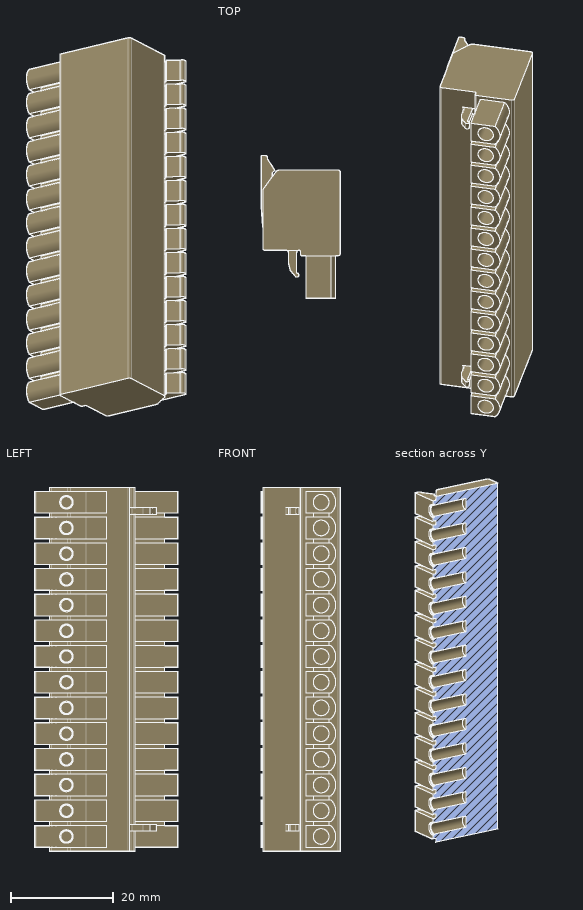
import cadquery as cq
import math


length = 70.9
pole_count = 14
pole_height = 4.25
end_margin = 0.8
pole_pitch = (length - 2 * end_margin - pole_height) / (pole_count - 1)
pole_levels = [(i - (pole_count - 1) / 2) * pole_pitch for i in range(pole_count)]

housing_left = 0.35
housing_right = 15.45
housing_back = 16.7
step_x = 7.65
step_depth = 1.05
bevel_width = 2.75
bevel_length = 3.8
bevel_round = 1.0
corner_round = 0.5
front_left_round = 0.35
step_outer_round = 0.3
step_inner_round = 0.2

post_left = 8.7
post_length = 8.3
socket_x = 11.7
socket_diameter = 3.05
post_round_radius = 2.8
web_length = 5.75
web_width = socket_diameter

lever_tip_y = 19.55
lever_end_y = 5.6
lever_bend_y = 9.6
lever_end_x = 0.3
lever_tip_width = 1.3
lever_tip_round = 0.5
lever_edge_round = 0.2
lever_slope_y = 18.85
nose_x = 2.7
nose_y = 16.65
nose_undercut = 0.5
lever_root_x = 2.1
wire_hole_y = 13.4
wire_hole_diameter = 2.2
wire_hole_depth = 7.8
wire_mouth_diameter = 2.6
wire_mouth_depth = 0.35

latch_level = 30.8
latch_thickness = 1.3
latch_left = 5.3
latch_right = 6.95
latch_flare = 0.4
latch_bend_y = -1.5
latch_knee_x = 5.7
latch_knee_y = -2.8
latch_tip_radius = 0.35
latch_tip_x = 7.0
latch_tip_y = -3.7


def extruded(outline, height, level):
    """Extrude an XY outline to the given height, centred on a Z level."""
    return outline.extrude(height / 2, both=True).translate((0, 0, level))


def housing():
    bevel_y = housing_back - bevel_length
    bevel_x = housing_left + bevel_width
    outline = cq.Workplane("XY").polyline([
        (housing_left, step_depth),
        (step_x, step_depth),
        (step_x, 0),
        (housing_right, 0),
        (housing_right, housing_back),
        (bevel_x, housing_back),
        (housing_left, bevel_y),
    ]).close()
    body = extruded(outline, length, 0)

    def rounded(solid, x, y, radius):
        return solid.edges(cq.selectors.NearestToPointSelector((x, y, 0))).fillet(radius)

    body = rounded(body, housing_left, bevel_y, bevel_round)
    body = rounded(body, bevel_x, housing_back, bevel_round)
    body = rounded(body, housing_right, 0, corner_round)
    body = rounded(body, housing_right, housing_back, corner_round)
    body = rounded(body, housing_left, step_depth, front_left_round)
    body = rounded(body, step_x, 0, step_outer_round)
    return rounded(body, step_x, step_depth, step_inner_round)


def post(level):
    """Contact post with a flat left side and a right side rounded about the socket axis."""
    half = pole_height / 2
    flat_end = socket_x + math.sqrt(post_round_radius**2 - half**2)
    return (
        cq.Workplane("XZ")
        .moveTo(flat_end, level - half)
        .lineTo(post_left, level - half)
        .lineTo(post_left, level + half)
        .lineTo(flat_end, level + half)
        .threePointArc((socket_x + post_round_radius, level), (flat_end, level - half))
        .close()
        .extrude(post_length)
    )


def post_web():
    """Web behind the gaps, joining all the posts to each other."""
    web_height = pole_levels[-1] - pole_levels[0]
    web = cq.Workplane("XY").box(web_width, web_length, web_height)
    return web.translate((socket_x, -web_length / 2, 0))


def sockets():
    centres = [(socket_x, level) for level in pole_levels]
    return (
        cq.Workplane("XZ", origin=(0, -post_length, 0))
        .pushPoints(centres)
        .circle(socket_diameter / 2)
        .extrude(-post_length)
    )


def lever(level):
    """Release lever lying on the housing, with its tip sticking out past the bevel."""
    outline = (
        cq.Workplane("XY")
        .moveTo(lever_end_x, lever_end_y)
        .lineTo(0, lever_bend_y)
        .lineTo(0, lever_tip_y - lever_edge_round)
        .radiusArc((lever_edge_round, lever_tip_y), lever_edge_round)
        .lineTo(lever_tip_width - lever_tip_round, lever_tip_y)
        .radiusArc((lever_tip_width, lever_tip_y - lever_tip_round), lever_tip_round)
        .lineTo(lever_tip_width, lever_slope_y)
        .lineTo(nose_x, nose_y)
        .lineTo(nose_x - nose_undercut, nose_y - nose_undercut)
        .lineTo(lever_root_x, wire_hole_y)
        .lineTo(lever_root_x, lever_end_y)
        .close()
    )
    return extruded(outline, pole_height, level)


def wire_bore(diameter, depth):
    """Round bores, one per pole, entering through the lever faces."""
    centres = [(wire_hole_y, level) for level in pole_levels]
    return cq.Workplane("YZ").pushPoints(centres).circle(diameter / 2).extrude(depth)


def latch(level):
    """Hooked latch arm on the recessed front face, flared at its root."""
    root_y = step_depth
    outline = (
        cq.Workplane("XY")
        .moveTo(latch_left - latch_flare, root_y)
        .radiusArc((latch_left, root_y - latch_flare), latch_flare)
        .lineTo(latch_left, latch_bend_y)
        .lineTo(latch_knee_x, latch_knee_y)
        .lineTo(latch_tip_x - latch_tip_radius, latch_tip_y - latch_tip_radius)
        .threePointArc((latch_tip_x + latch_tip_radius, latch_tip_y),
                       (latch_right, latch_tip_y + latch_tip_radius))
        .lineTo(latch_right, root_y - latch_flare)
        .radiusArc((latch_right + latch_flare, root_y), latch_flare)
        .close()
    )
    return extruded(outline, latch_thickness, level)


result = housing().union(post_web())
for pole_level in pole_levels:
    result = result.union(post(pole_level)).union(lever(pole_level))
for side in (-1, 1):
    result = result.union(latch(side * latch_level))
result = result.cut(sockets())
result = result.cut(wire_bore(wire_mouth_diameter, wire_mouth_depth))
result = result.cut(wire_bore(wire_hole_diameter, wire_hole_depth))